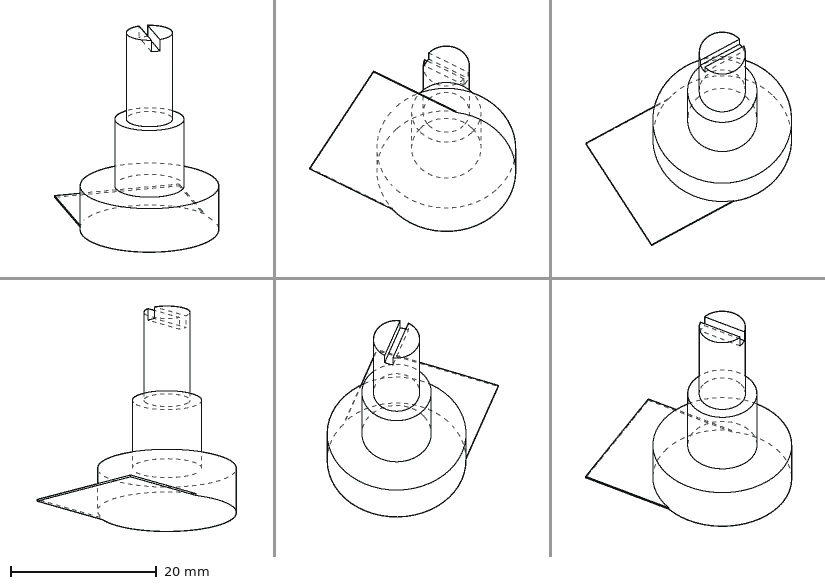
import cadquery as cq

base_diameter = 19.05
collar_diameter = 9.5
shaft_diameter = 6.35
base_top = 6.35
collar_top = 16.03
shaft_top = 28.57

slot_width = 1.2
slot_depth = 1.65

overall_length = 26.03
plate_width = 17.75
plate_thickness = 0.25
plate_reach = overall_length - base_diameter / 2


def cylinder(diameter, bottom, top):
    """Cylinder on the Z axis between two heights."""
    return cq.Workplane("XY").workplane(offset=bottom).circle(diameter / 2).extrude(top - bottom)


base = cylinder(base_diameter, 0, base_top)
collar = cylinder(collar_diameter, base_top, collar_top)
shaft = cylinder(shaft_diameter, collar_top, shaft_top)

slot = (
    cq.Workplane("XY")
    .workplane(offset=shaft_top - slot_depth)
    .rect(shaft_diameter * 2, slot_width)
    .extrude(slot_depth)
)
shaft = shaft.cut(slot)

plate = cq.Workplane("XY").box(
    plate_reach, plate_width, plate_thickness, centered=(False, True, False)
).translate((-plate_reach, 0, 0))

result = base.union(collar).union(shaft).union(plate)